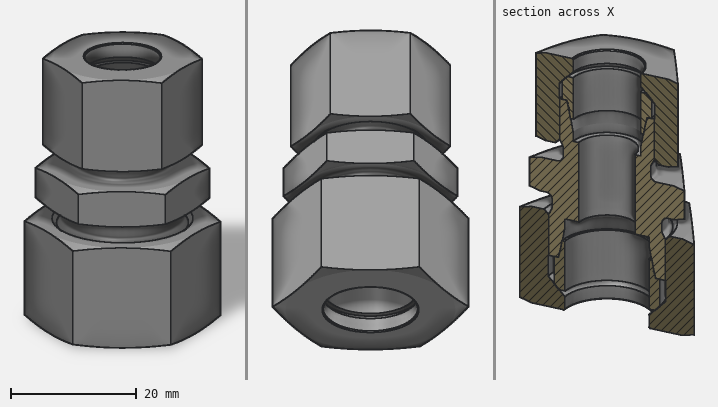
import cadquery as cq
import math

total_height = 44.5
lower_nut_height = 17.0
upper_nut_height = 15.5
body_hex_bottom = 20.0
body_hex_top = 26.0
spigot_length = 11.0

lower_nut_flats = 27.0
body_flats = 24.0
upper_nut_flats = 22.0
hex_chamfer_angle = 15.0

through_bore = 10.0

lower_thread_diameter = 21.0
upper_thread_diameter = 17.05
lower_groove_diameter = 19.7
upper_groove_diameter = 15.7
lower_tube_diameter = 15.0
upper_tube_diameter = 12.0
lower_cone_mouth_diameter = 17.3
upper_cone_mouth_diameter = 14.3

groove_floor_length = 1.4
groove_fillet = 1.0
thread_start_angle = 30.0

socket_depth = 7.0
socket_cone_angle = 12.0

mouth_chamfer = 0.2
thread_chamfer = 0.7
tube_bore_length = 2.4

ring_wall = 2.0
ring_top_depth = 3.35
ring_nose_length = 3.15


def revolve_profile(profile):
    """Close a profile of radius and height and revolve it about the Z axis."""
    return profile.close().revolve(360, (0, 0), (0, 1))


def socket_cone_radius(mouth_diameter, depth):
    """Radius of the conical mouth of a tube socket at a depth below the end of the spigot."""
    return mouth_diameter / 2 - depth * math.tan(math.radians(socket_cone_angle))


def chamfered_hexagon(flats, height):
    """Hexagon standing on Z = 0, corners on the Y axis, both ends cut by a shallow cone."""
    corner_radius = flats / math.sqrt(3)
    face_radius = flats / 2
    drop = (corner_radius - face_radius) * math.tan(math.radians(hex_chamfer_angle))
    hexagon = (
        cq.Workplane("XY")
        .polygon(6, 2 * corner_radius)
        .extrude(height)
        .rotate((0, 0, 0), (0, 0, 1), 30)
    )
    envelope = revolve_profile(
        cq.Workplane("XZ")
        .moveTo(0, 0)
        .lineTo(face_radius, 0)
        .lineTo(corner_radius, drop)
        .lineTo(corner_radius, height - drop)
        .lineTo(face_radius, height)
        .lineTo(0, height)
    )
    return hexagon.intersect(envelope)


def make_spigot(thread_diameter, groove_diameter):
    """Threaded end of the body, rising from Z = 0, with a rounded relief groove at its root."""
    thread_radius = thread_diameter / 2
    floor_radius = groove_diameter / 2
    floor_end = groove_fillet + groove_floor_length
    fillet_inset = groove_fillet * (1 - math.sqrt(0.5))

    slope = math.radians(thread_start_angle)
    arc_end_radius = floor_radius + groove_fillet * (1 - math.cos(slope))
    arc_end_height = floor_end + groove_fillet * math.sin(slope)
    arc_middle_radius = floor_radius + groove_fillet * (1 - math.cos(slope / 2))
    arc_middle_height = floor_end + groove_fillet * math.sin(slope / 2)
    thread_start = arc_end_height + (thread_radius - arc_end_radius) / math.tan(slope)

    return revolve_profile(
        cq.Workplane("XZ")
        .moveTo(0, 0)
        .lineTo(floor_radius + groove_fillet, 0)
        .threePointArc((floor_radius + fillet_inset, fillet_inset), (floor_radius, groove_fillet))
        .lineTo(floor_radius, floor_end)
        .threePointArc((arc_middle_radius, arc_middle_height), (arc_end_radius, arc_end_height))
        .lineTo(thread_radius, thread_start)
        .lineTo(thread_radius, spigot_length)
        .lineTo(0, spigot_length)
    )


def make_socket(tube_diameter, mouth_diameter):
    """Space for the tube in a spigot: a cylinder down to the tube stop, widening to a conical mouth."""
    tube_radius = tube_diameter / 2
    mouth_radius = mouth_diameter / 2
    cone_length = (mouth_radius - tube_radius) / math.tan(math.radians(socket_cone_angle))
    return revolve_profile(
        cq.Workplane("XZ")
        .moveTo(0, spigot_length - socket_depth)
        .lineTo(tube_radius, spigot_length - socket_depth)
        .lineTo(tube_radius, spigot_length - cone_length)
        .lineTo(mouth_radius, spigot_length)
        .lineTo(0, spigot_length)
    )


def make_body():
    """Double-ended connector: a hexagon between two threaded spigots, bored right through."""
    upper_spigot = make_spigot(upper_thread_diameter, upper_groove_diameter).cut(
        make_socket(upper_tube_diameter, upper_cone_mouth_diameter)
    )
    lower_spigot = make_spigot(lower_thread_diameter, lower_groove_diameter).cut(
        make_socket(lower_tube_diameter, lower_cone_mouth_diameter)
    )
    hexagon = chamfered_hexagon(body_flats, body_hex_top - body_hex_bottom)
    bore = cq.Workplane("XY").circle(through_bore / 2).extrude(total_height)
    return (
        hexagon.translate((0, 0, body_hex_bottom))
        .union(upper_spigot.translate((0, 0, body_hex_top)))
        .union(turn_over(lower_spigot).translate((0, 0, body_hex_bottom)))
        .cut(bore)
    )


def make_nut(flats, height, thread_diameter, tube_diameter):
    """Union nut with its thread opening at Z = 0 and its tube mouth at the top."""
    tube_radius = tube_diameter / 2
    thread_radius = thread_diameter / 2
    cone_top = height - tube_bore_length
    cone_bottom = cone_top - (thread_radius - tube_radius)
    cavity = revolve_profile(
        cq.Workplane("XZ")
        .moveTo(0, 0)
        .lineTo(thread_radius + thread_chamfer, 0)
        .lineTo(thread_radius, thread_chamfer)
        .lineTo(thread_radius, cone_bottom)
        .lineTo(tube_radius, cone_top)
        .lineTo(tube_radius, height - mouth_chamfer)
        .lineTo(tube_radius + mouth_chamfer, height)
        .lineTo(0, height)
    )
    return chamfered_hexagon(flats, height).cut(cavity)


def make_ring(tube_diameter, mouth_diameter, shoulder_height):
    """Cutting ring: its shoulder rests on the body at Z = 0 and its nose fills the cone below."""
    tube_radius = tube_diameter / 2
    shoulder_radius = tube_radius + ring_wall
    top_radius = tube_radius + ring_top_depth - tube_bore_length
    chamfer_bottom = shoulder_height - (shoulder_radius - top_radius)
    return revolve_profile(
        cq.Workplane("XZ")
        .moveTo(tube_radius, -ring_nose_length)
        .lineTo(socket_cone_radius(mouth_diameter, ring_nose_length), -ring_nose_length)
        .lineTo(mouth_diameter / 2, 0)
        .lineTo(shoulder_radius, 0)
        .lineTo(shoulder_radius, chamfer_bottom)
        .lineTo(top_radius, shoulder_height)
        .lineTo(tube_radius, shoulder_height)
    )


def turn_over(shape):
    """Turn a part upside down about the X axis."""
    return shape.rotate((0, 0, 0), (1, 0, 0), 180)


body = make_body()

upper_nut = make_nut(upper_nut_flats, upper_nut_height, upper_thread_diameter, upper_tube_diameter)
upper_nut = upper_nut.translate((0, 0, total_height - upper_nut_height))
lower_nut = make_nut(lower_nut_flats, lower_nut_height, lower_thread_diameter, lower_tube_diameter)
lower_nut = turn_over(lower_nut).translate((0, 0, lower_nut_height))

body_top = body_hex_top + spigot_length
body_bottom = body_hex_bottom - spigot_length
upper_shoulder_height = total_height - ring_top_depth - body_top
lower_shoulder_height = body_bottom - ring_top_depth
upper_ring = make_ring(upper_tube_diameter, upper_cone_mouth_diameter, upper_shoulder_height)
upper_ring = upper_ring.translate((0, 0, body_top))
lower_ring = make_ring(lower_tube_diameter, lower_cone_mouth_diameter, lower_shoulder_height)
lower_ring = turn_over(lower_ring).translate((0, 0, body_bottom))

result = cq.Compound.makeCompound(
    [body.val(), upper_nut.val(), lower_nut.val(), upper_ring.val(), lower_ring.val()]
)